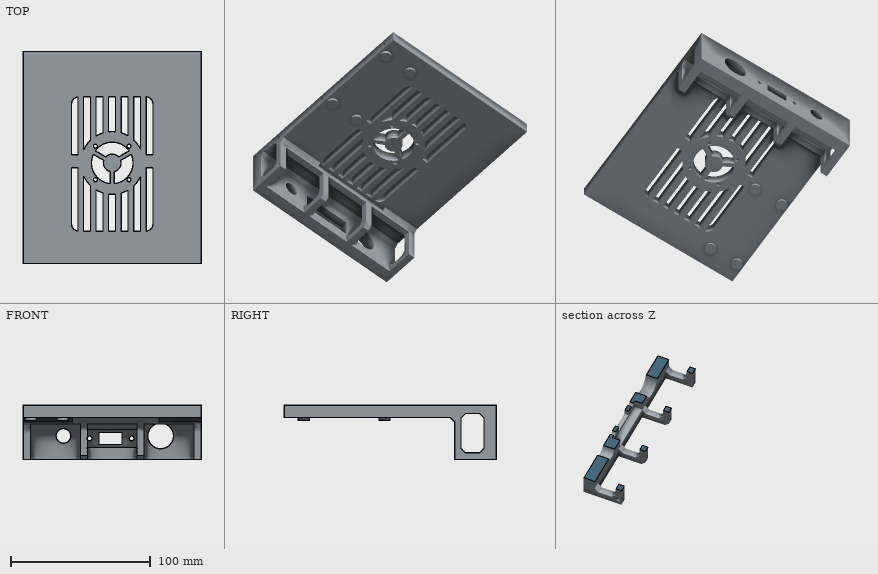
import cadquery as cq
import math

width = 127.7
length = 152.0
height = 39.0
plate_thickness = 9.0
plate_bottom = height - plate_thickness

box_depth = 30.0
box_front = length - box_depth
rear_wall = 9.0
rear_wall_front = length - rear_wall
end_wall = 5.3
rib_width = 4.9
bay_count = 3
bay_width = (width - 2 * end_wall - (bay_count - 1) * rib_width) / bay_count
bay_height = 25.5
chamfer = 3.0
left_gusset_width = 35.3
right_gusset_width = 30.4

window_depth = 16.3
window_height = 28.0
window_bottom = 5.0
window_corner = 3.0

connector_x = 62.6
connector_z = 15.2
connector_width = 16.3
connector_height = 8.4
connector_recess_width = 38.0
connector_recess_height = 13.0
connector_recess_depth = 6.0
connector_screw_spacing = 30.1
connector_screw_diameter = 3.3
cable_hole_z = 17.0
cable_holes = ((28.9, 10.3), (98.5, 18.2))

fan_x = width / 2
fan_y = 72.0
vent_y = 71.3
vent_width = 58.0
vent_length = 96.0
vent_corner = 5.0
bar_count = 6
bar_width = 4.3
bars_x = 63.7
bar_pitch = 9.0
cross_bar_width = 9.5
cross_bar_y = 73.3
fan_ring_diameter = 45.1
fan_opening_diameter = 29.6
fan_hub_diameter = 12.8
spoke_count = 3
first_spoke_angle = -90
spoke_width = 3.0
fan_screw_spacing = 24.0
fan_screw_count = 4
first_screw_angle = 45
fan_screw_diameter = 2.7

standoff_columns = 2
standoff_rows = 2
standoff_diameter = 8.0
standoff_height = 2.0
standoff_x = 5.5
standoff_spacing_x = 22.8
standoff_y = 14.1
standoff_spacing_y = 57.8

side_screw_diameter = 2.7
side_screw_depth = 5.0
side_screw_plate_z = height - plate_thickness / 2
side_screw_box_y = 124.6
side_screw_box_z = 4.0
side_screw_plate_ys = (10.3, 77.5, side_screw_box_y)


def block(x, y, z, size_x, size_y, size_z):
    """Rectangular block with its lowest corner at (x, y, z)."""
    return cq.Workplane("XY").box(size_x, size_y, size_z, centered=False).translate((x, y, z))


def cylinder_up(x, y, z, diameter, size_z):
    """Upright cylinder standing at height z."""
    return cq.Workplane("XY", origin=(x, y, z)).circle(diameter / 2).extrude(size_z)


def rear_hole(x, z, diameter):
    """Cutter for a round hole through the rear wall."""
    face = cq.Workplane("XZ", origin=(x, length, z))
    return face.circle(diameter / 2).extrude(rear_wall)


def gusset(x, size_x):
    """Triangular strip in the corner between the plate and the box."""
    corners = [
        (box_front, plate_bottom),
        (box_front - chamfer, plate_bottom),
        (box_front, plate_bottom - chamfer),
    ]
    return cq.Workplane("YZ", origin=(x, 0, 0)).polyline(corners).close().extrude(size_x)


def window():
    """Cutter for the window with cut corners that crosses the box along X."""
    cutter = block(0, rear_wall_front - window_depth, window_bottom, width, window_depth, window_height)
    return cutter.edges("|X").chamfer(window_corner)


def connector_cutters():
    """Cutter for the rectangular connector: inner recess, opening and two screw holes."""
    cutter = block(
        connector_x - connector_recess_width / 2,
        rear_wall_front,
        connector_z - connector_recess_height / 2,
        connector_recess_width,
        connector_recess_depth,
        connector_recess_height,
    )
    opening = block(
        connector_x - connector_width / 2,
        rear_wall_front,
        connector_z - connector_height / 2,
        connector_width,
        rear_wall,
        connector_height,
    )
    cutter = cutter.union(opening)
    for side in (-1, 1):
        screw_x = connector_x + side * connector_screw_spacing / 2
        cutter = cutter.union(rear_hole(screw_x, connector_z, connector_screw_diameter))
    return cutter


def connector_box():
    """Box with three bays open to the front and below, split by chamfered ribs."""
    box = block(0, box_front, 0, width, box_depth, height)
    bay_depth = rear_wall_front - box_front
    for index in range(bay_count):
        bay_x = end_wall + index * (bay_width + rib_width)
        box = box.cut(block(bay_x, box_front, 0, bay_width, bay_depth, bay_height))
    rib_corner = [(box_front, 0), (box_front + chamfer, 0), (box_front, chamfer)]
    for index in range(1, bay_count):
        rib_x = end_wall + index * bay_width + (index - 1) * rib_width
        cutter = cq.Workplane("YZ", origin=(rib_x, 0, 0)).polyline(rib_corner).close().extrude(rib_width)
        box = box.cut(cutter)
    box = box.cut(window()).cut(connector_cutters())
    for hole_x, diameter in cable_holes:
        box = box.cut(rear_hole(hole_x, cable_hole_z, diameter))
    return box


def vent_cutter():
    """Cutter for the grille: the slots left between the bars and outside the fan ring."""
    slots = block(
        fan_x - vent_width / 2,
        vent_y - vent_length / 2,
        plate_bottom,
        vent_width,
        vent_length,
        plate_thickness,
    )
    slots = slots.edges("|Z").fillet(vent_corner)
    for index in range(bar_count):
        bar_x = bars_x + (index - (bar_count - 1) / 2) * bar_pitch - bar_width / 2
        slots = slots.cut(block(bar_x, 0, plate_bottom, bar_width, length, plate_thickness))
    cross_bar_front = cross_bar_y - cross_bar_width / 2
    cross_bar = block(0, cross_bar_front, plate_bottom, width, cross_bar_width, plate_thickness)
    ring = cylinder_up(fan_x, fan_y, plate_bottom, fan_ring_diameter, plate_thickness)
    return slots.cut(cross_bar).cut(ring)


def fan_cutter():
    """Cutter for the fan opening around its hub and spokes, with the four screw holes."""
    opening = cylinder_up(fan_x, fan_y, plate_bottom, fan_opening_diameter, plate_thickness)
    opening = opening.cut(cylinder_up(fan_x, fan_y, plate_bottom, fan_hub_diameter, plate_thickness))
    for index in range(spoke_count):
        spoke = block(
            fan_x,
            fan_y - spoke_width / 2,
            plate_bottom,
            fan_opening_diameter,
            spoke_width,
            plate_thickness,
        )
        angle = first_spoke_angle + index * 360 / spoke_count
        opening = opening.cut(spoke.rotate((fan_x, fan_y, 0), (fan_x, fan_y, 1), angle))
    screw_radius = fan_screw_spacing / math.sqrt(2)
    for index in range(fan_screw_count):
        angle = math.radians(first_screw_angle + index * 360 / fan_screw_count)
        screw_x = fan_x + screw_radius * math.cos(angle)
        screw_y = fan_y + screw_radius * math.sin(angle)
        screw_hole = cylinder_up(screw_x, screw_y, plate_bottom, fan_screw_diameter, plate_thickness)
        opening = opening.union(screw_hole)
    return opening


def side_screw(y, z):
    """Cutter for a blind screw hole in the left side."""
    return cq.Workplane("YZ", origin=(0, y, z)).circle(side_screw_diameter / 2).extrude(side_screw_depth)


result = block(0, 0, plate_bottom, width, length, plate_thickness).cut(window())
result = result.union(connector_box())
result = result.union(gusset(0, left_gusset_width))
result = result.union(gusset(width - right_gusset_width, right_gusset_width))
result = result.cut(vent_cutter()).cut(fan_cutter())

for column in range(standoff_columns):
    for row in range(standoff_rows):
        post_x = standoff_x + column * standoff_spacing_x
        post_y = standoff_y + row * standoff_spacing_y
        post_bottom = plate_bottom - standoff_height
        post = cylinder_up(post_x, post_y, post_bottom, standoff_diameter, standoff_height)
        result = result.union(post)

for screw_y in side_screw_plate_ys:
    result = result.cut(side_screw(screw_y, side_screw_plate_z))
result = result.cut(side_screw(side_screw_box_y, side_screw_box_z))